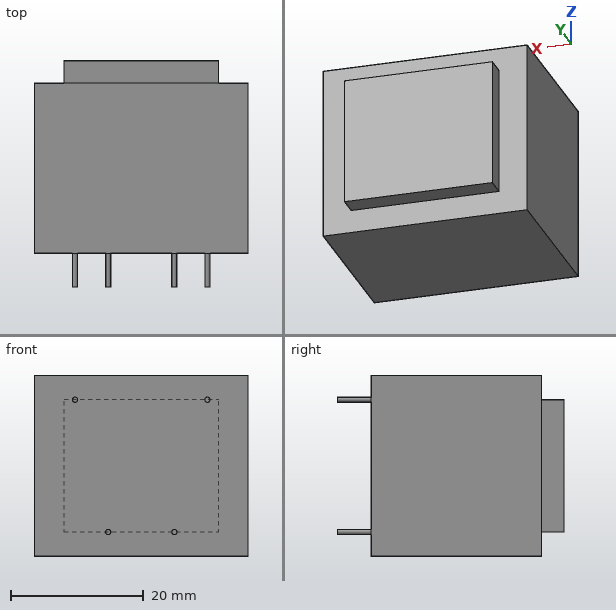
import cadquery as cq

total_depth = 34.2
body_width = 32.3
body_height = 27.3

block_width = 23.4
block_height = 20.0
block_depth = 3.4
pin_length = 5.1
pin_diameter = 0.8
body_depth = total_depth - block_depth - pin_length

pin_pitch = 5.0
pin_rows = 2 * pin_pitch
upper_pin_offset = 2 * pin_pitch
lower_pin_offset = pin_pitch
pin_places = [
    (side * offset, height)
    for offset, height in ((upper_pin_offset, pin_rows), (lower_pin_offset, -pin_rows))
    for side in (-1, 1)
]

body = cq.Workplane("XY").box(body_width, body_depth, body_height, centered=(True, False, True))

block = (
    cq.Workplane("XY")
    .box(block_width, block_depth, block_height, centered=(True, False, True))
    .translate((0, body_depth, 0))
)

pins = cq.Workplane("XZ").pushPoints(pin_places).circle(pin_diameter / 2).extrude(pin_length)

result = body.union(block).union(pins)